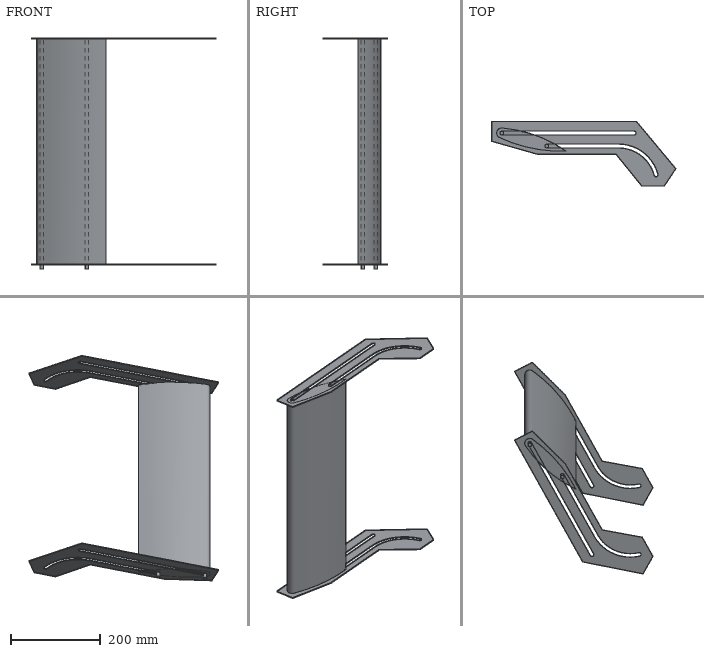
import cadquery as cq
import math

total_height = 514.0
plate_thickness = 2.0
blade_length = 500.0
pin_protrusion = total_height - blade_length - 2 * plate_thickness
lower_plate_z = pin_protrusion
blade_z = lower_plate_z + plate_thickness
upper_plate_z = blade_z + blade_length

plate_length = 409.5
plate_depth = 144.0
left_edge_depth = 44.5
arm_depth = 73.5
taper_end_x = 102.0
back_bend_x = 322.0
front_bend_x = 276.5
foot_left_x = 333.5
foot_right_x = 384.0
tip_depth = 105.5

pin_diameter = 8.0
pin_radius = pin_diameter / 2
nose_pin_x = 22.5
nose_pin_y = -26.0
straight_slot_end_x = 316.5
tail_pin_x = 123.0
tail_pin_y = -55.0
bend_start_x = 282.0
bend_radius = 86.5
bend_angle = math.radians(75)

nose_radius = 11.5
upper_flank_angle = math.radians(80)
lower_flank_angle = math.radians(238)
upper_flank_middle = (94.0, -30.0)
lower_flank_middle = (90.0, -60.0)
tail_tip = (165.5, -66.5)


def straight_slot(start_x, end_x, y):
    """Round-ended cutter between two end centres at the same Y."""
    length = end_x - start_x + pin_diameter
    return (
        cq.Workplane("XY")
        .center((start_x + end_x) / 2, y)
        .slot2D(length, pin_diameter)
        .extrude(plate_thickness)
    )


def bent_slot():
    """Cutter with a straight run that turns into a tangent arc towards -Y."""
    bend_center_y = tail_pin_y - bend_radius

    def bend_point(radius, angle):
        return (bend_start_x + radius * math.sin(angle), bend_center_y + radius * math.cos(angle))

    outer = bend_radius + pin_radius
    inner = bend_radius - pin_radius
    end_x, end_y = bend_point(bend_radius, bend_angle)
    end_cap = (end_x + pin_radius * math.cos(bend_angle), end_y - pin_radius * math.sin(bend_angle))
    return (
        cq.Workplane("XY")
        .moveTo(tail_pin_x, tail_pin_y + pin_radius)
        .lineTo(*bend_point(outer, 0))
        .threePointArc(bend_point(outer, bend_angle / 2), bend_point(outer, bend_angle))
        .threePointArc(end_cap, bend_point(inner, bend_angle))
        .threePointArc(bend_point(inner, bend_angle / 2), bend_point(inner, 0))
        .lineTo(tail_pin_x, tail_pin_y - pin_radius)
        .threePointArc((tail_pin_x - pin_radius, tail_pin_y), (tail_pin_x, tail_pin_y + pin_radius))
        .close()
        .extrude(plate_thickness)
    )


def make_plate(bottom_z):
    """Cranked end plate with both guide slots."""
    outline = [
        (0, 0),
        (back_bend_x, 0),
        (plate_length, -tip_depth),
        (foot_right_x, -plate_depth),
        (foot_left_x, -plate_depth),
        (front_bend_x, -arm_depth),
        (taper_end_x, -arm_depth),
        (0, -left_edge_depth),
    ]
    plate = cq.Workplane("XY").polyline(outline).close().extrude(plate_thickness)
    plate = plate.cut(straight_slot(nose_pin_x, straight_slot_end_x, nose_pin_y))
    plate = plate.cut(bent_slot())
    return plate.translate((0, 0, bottom_z))


def make_pin(x, y):
    """Long pin from below the lower plate to the top of the blade."""
    pin_length = blade_z + blade_length
    return cq.Workplane("XY").center(x, y).circle(pin_radius).extrude(pin_length)


def nose_point(angle):
    return (nose_pin_x + nose_radius * math.cos(angle), nose_pin_y + nose_radius * math.sin(angle))


def make_blade(pins):
    """Curved blade with a through hole for each pin."""
    blade = (
        cq.Workplane("XY")
        .workplane(offset=blade_z)
        .moveTo(*nose_point(upper_flank_angle))
        .threePointArc(upper_flank_middle, tail_tip)
        .threePointArc(lower_flank_middle, nose_point(lower_flank_angle))
        .threePointArc(nose_point(math.pi), nose_point(upper_flank_angle))
        .close()
        .extrude(blade_length)
    )
    for pin in pins:
        blade = blade.cut(pin)
    return blade


plates = [make_plate(z) for z in (lower_plate_z, upper_plate_z)]
pins = [make_pin(x, y) for x, y in ((nose_pin_x, nose_pin_y), (tail_pin_x, tail_pin_y))]
blade = make_blade(pins)

result = cq.Compound.makeCompound([blade.val(), *[body.val() for body in plates + pins]])